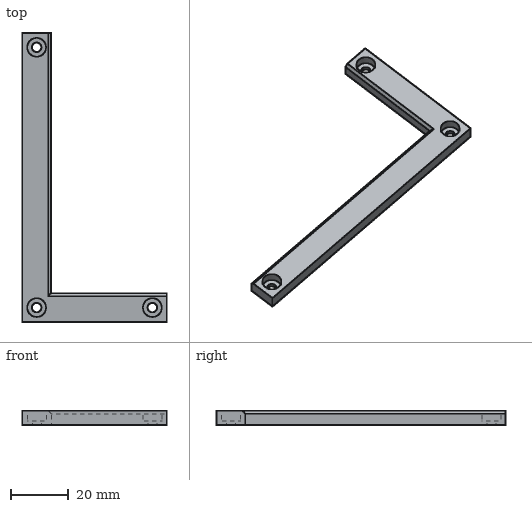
import cadquery as cq

length_x = 50.0
length_y = 100.0
thickness = 5.0
arm_width = 10.0
inner_chamfer = 1.0

hole_diameter = 3.2
counterbore_diameter = 6.5
counterbore_depth = 3.5
hole_inset = arm_width / 2


def l_plate():
    """Two square-ended arms joined at the origin corner."""
    outline = [
        (0, 0),
        (length_x, 0),
        (length_x, arm_width),
        (arm_width, arm_width),
        (arm_width, length_y),
        (0, length_y),
    ]
    return cq.Workplane("XY").polyline(outline).close().extrude(thickness)


def chamfer_inner_edges(plate):
    """Bevel the top edges along the inside of both arms."""
    inside_of_x_arm = cq.NearestToPointSelector(((arm_width + length_x) / 2, arm_width, thickness))
    inside_of_y_arm = cq.NearestToPointSelector((arm_width, (arm_width + length_y) / 2, thickness))
    return plate.edges(inside_of_x_arm + inside_of_y_arm).chamfer(inner_chamfer)


def drill_screw_holes(plate):
    """One counterbored hole at the corner and one at the end of each arm."""
    centres = [
        (hole_inset, hole_inset),
        (length_x - hole_inset, hole_inset),
        (hole_inset, length_y - hole_inset),
    ]
    return (
        plate.faces(">Z")
        .workplane(origin=(0, 0, thickness))
        .pushPoints(centres)
        .cboreHole(hole_diameter, counterbore_diameter, counterbore_depth)
    )


result = drill_screw_holes(chamfer_inner_edges(l_plate()))